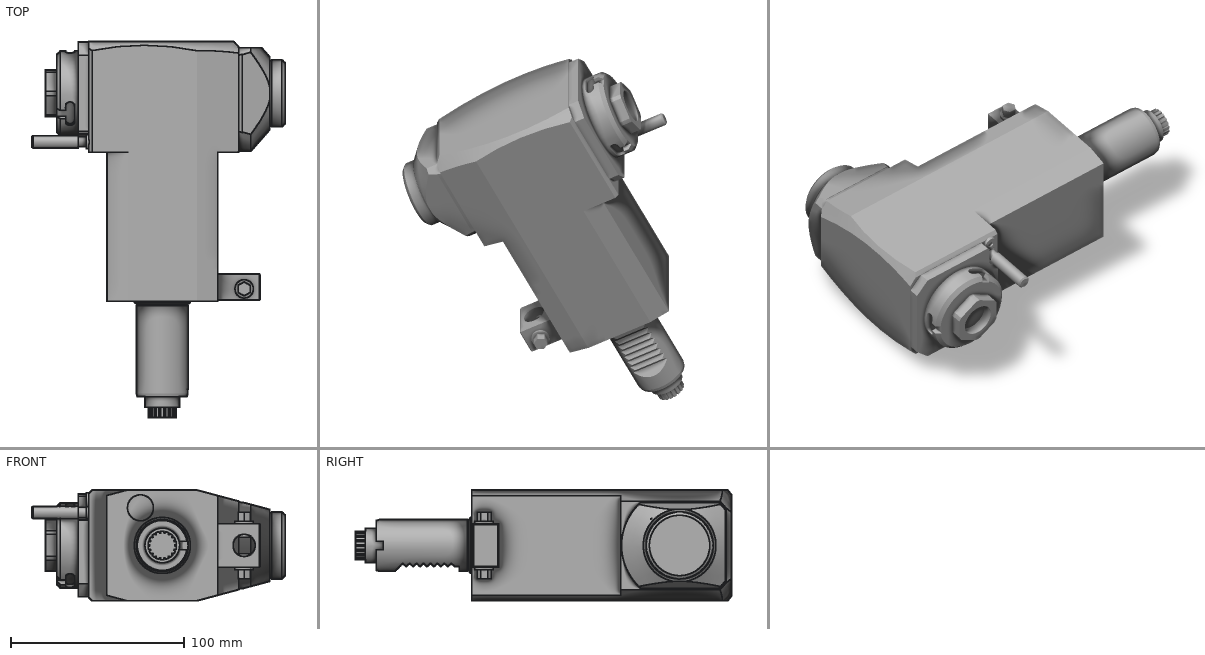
import cadquery as cq
import math


OVERALL_WIDTH = 146.38
HEIGHT = 64.0
HALF_HEIGHT = HEIGHT / 2
BODY_HALF_WIDTH = 32.0
BACK_Y = 150.0
HEAD_FRONT_Y = 86.0
HEAD_LEFT_X = -42.5
HEAD_RIGHT_X = 44.0
HEAD_LEFT_CHAMFER = 2.0
HEAD_BACK_CHAMFER = 3.0
TAPER_START_X = 20.0
TAPER_SLOPE = math.tan(math.radians(15))
BACK_CONE_X = -10.5
BACK_CONE_Y = -2.3
BACK_CONE_RADIUS = 150.0
BACK_CONE_SLOPE = math.tan(math.radians(40))

PLUG_X = -12.6
PLUG_Z = 21.7
PLUG_RADIUS = 7.5
PLUG_DEPTH = 0.5

SPINDLE_Y = 120.0

CAP_RADIUS = 33.5
CAP_CONE_X = 51.0
CAP_END_X = 62.0
CAP_END_RADIUS = 21.0
CAP_FLAT_Y = 146.3
CAP_GROOVE_WIDTH = 2.0
CAP_GROOVE_DEPTH = 0.3
REAR_NECK_LENGTH = 1.2
REAR_NECK_RADIUS = 19.0
REAR_BOSS_RADIUS = 19.4
REAR_BOSS_END_X = 71.0
REAR_BOSS_CHAMFER = 2.0

PLATE_THICKNESS = 6.0
PLATE_LEFT_X = HEAD_LEFT_X - PLATE_THICKNESS
PLATE_HALF_SIZE = 29.7
PLATE_CHAMFER = 7.7

NUT_FRONT_X = -61.0
NUT_RADIUS = 24.6
NUT_CHAMFER = 2.2
NOTCH_WIDTH = 5.5
NOTCH_FLOOR_RADIUS = 21.5
POCKET_WIDTH = 5.2
POCKET_LENGTH = 15.6
POCKET_X = -53.2
NOTCH_ANGLES = (0, 120, 240)

HEX_FRONT_X = -67.5
HEX_ACROSS_FLATS = 27.0
HEX_CORNER_RADIUS = 14.9
NOSE_BORE_RADIUS = 9.5
NOSE_BORE_DEPTH = 6.0

PIN_LEFT_X = REAR_BOSS_END_X - OVERALL_WIDTH
PIN_Y = 92.0
PIN_Z = 19.0
PIN_RADIUS = 3.6
PIN_CHAMFER = 0.8
PIN_NECK_RADIUS = 2.9
PIN_COLLAR_RADIUS = 3.5
PIN_COLLAR_THICKNESS = 1.5
PIN_SLOT_RADIUS = 4.6
SCREW_Z = 26.3
SCREW_RADIUS = 4.1
SCREW_HEAD_HEIGHT = 1.5
SCREW_SOCKET_ACROSS_CORNERS = 3.8
SCREW_SOCKET_DEPTH = 1.0

SHANK_RADIUS = 15.0
COLLAR_RADIUS = 16.2
COLLAR_STRAIGHT = 0.6
COLLAR_CONE_END = 1.6
COLLAR_NECK_END = 2.6
COLLAR_NECK_RADIUS = 14.7
SHANK_LENGTH = 55.0
SHANK_END_CHAMFER_LENGTH = 2.0
SHANK_END_CHAMFER = 0.6
JOURNAL_RADIUS = 10.0
JOURNAL_END = 61.2
SPLINE_END = 67.0
SPLINE_RADIUS = 8.2
SPLINE_ROOT_RADIUS = 7.2
SPLINE_TEETH = 18
SPLINE_ROOT_GAP = 0.5
KEY_SLOT_LENGTH = 4.2
KEY_SLOT_WIDTH = 4.8
KEY_SLOT_FLOOR_X = 9.7

TOOTH_PITCH = 4.0
TOOTH_VALLEYS = 8
FIRST_VALLEY_Y = -11.7
TOOTH_PEAK_Z = -12.2
TOOTH_VALLEY_Z = -10.4
TEETH_START_Y = -7.2

BLOCK_RIGHT_X = 56.5
BLOCK_FRONT_Y = 0.7
BLOCK_BACK_Y = 15.8
BLOCK_HALF_HEIGHT = 12.6
BLOCK_CHAMFER = 0.6
BLOCK_BORE_X = 47.2
BLOCK_BORE_RADIUS = 6.4
FITTING_Y = 7.2
FITTING_FLANGE_RADIUS = 5.3
FITTING_FLANGE_HEIGHT = 1.4
FITTING_HEX_ACROSS_FLATS = 7.0
FITTING_TOP_Z = 19.2
FITTING_STUD_RADIUS = 3.0
FITTING_STUD_END_Z = 4.7

OVERLAP = 1.0


def x_cylinder(radius, x_start, x_end, y, z):
    """Cylinder along X between two X stations."""
    return cq.Workplane("YZ", origin=(x_start, y, z)).circle(radius).extrude(x_end - x_start)


def box_between(low, high):
    """Axis-aligned box between two opposite corners."""
    size = [b - a for a, b in zip(low, high)]
    return cq.Workplane("XY").box(*size, centered=False).translate(low)


def hexagon_across_corners(across_flats):
    return across_flats / math.cos(math.pi / 6)


def tapered_envelope(left_x, left_drop=0.0):
    """Prism along Y whose right shoulders slope; the left edge at left_x is lowered by left_drop."""
    right_z = HALF_HEIGHT - TAPER_SLOPE * (REAR_BOSS_END_X - TAPER_START_X)
    outline = [(left_x, HALF_HEIGHT - left_drop), (-TAPER_START_X, HALF_HEIGHT),
               (TAPER_START_X, HALF_HEIGHT), (REAR_BOSS_END_X, right_z)]
    outline += [(x, -z) for x, z in reversed(outline)]
    return cq.Workplane("XZ").polyline(outline).close().extrude(-BACK_Y)


def make_head():
    head = box_between((HEAD_LEFT_X, HEAD_FRONT_Y, -HALF_HEIGHT), (HEAD_RIGHT_X, BACK_Y, HALF_HEIGHT))
    head = head.edges("<X and |Y").chamfer(HEAD_LEFT_CHAMFER)
    head = head.edges(">X and >Y").chamfer(HEAD_BACK_CHAMFER)
    head = head.intersect(tapered_envelope(HEAD_LEFT_X))
    middle_radius = BACK_CONE_RADIUS + HALF_HEIGHT * BACK_CONE_SLOPE
    double_cone = (
        cq.Workplane("XZ")
        .polyline([(0, -HALF_HEIGHT), (BACK_CONE_RADIUS, -HALF_HEIGHT), (middle_radius, 0),
                   (BACK_CONE_RADIUS, HALF_HEIGHT), (0, HALF_HEIGHT)])
        .close()
        .revolve(360, (0, 0, 0), (0, 1, 0))
        .translate((BACK_CONE_X, BACK_CONE_Y, 0))
    )
    return head.intersect(double_cone)


def make_body():
    block = box_between((-BODY_HALF_WIDTH, 0, -HALF_HEIGHT),
                        (BODY_HALF_WIDTH, HEAD_FRONT_Y + OVERLAP, HALF_HEIGHT))
    left_drop = TAPER_SLOPE * (BODY_HALF_WIDTH - TAPER_START_X)
    body = block.intersect(tapered_envelope(-BODY_HALF_WIDTH, left_drop))
    recess = cq.Workplane("XZ", origin=(PLUG_X, 0, PLUG_Z)).circle(PLUG_RADIUS).extrude(-PLUG_DEPTH)
    return body.cut(recess)


def make_cap():
    """Turned rear cap, flattened by the housing taper and at the back."""
    start_x = HEAD_RIGHT_X - OVERLAP
    cap = (
        cq.Workplane("XY")
        .polyline([(start_x, 0), (start_x, CAP_RADIUS), (CAP_CONE_X, CAP_RADIUS),
                   (CAP_END_X, CAP_END_RADIUS), (CAP_END_X, 0)])
        .close()
        .revolve(360, (0, 0, 0), (1, 0, 0))
        .translate((0, SPINDLE_Y, 0))
        .intersect(tapered_envelope(HEAD_LEFT_X))
    )
    behind_flat = box_between((start_x, CAP_FLAT_Y, -HALF_HEIGHT),
                              (CAP_END_X, SPINDLE_Y + CAP_RADIUS + OVERLAP, HALF_HEIGHT))
    cap = cap.cut(behind_flat)
    groove_end_x = HEAD_RIGHT_X + CAP_GROOVE_WIDTH
    groove_z = [HALF_HEIGHT - CAP_GROOVE_DEPTH - TAPER_SLOPE * (x - TAPER_START_X)
                for x in (HEAD_RIGHT_X, groove_end_x)]
    for side in (1, -1):
        groove = (
            cq.Workplane("XZ")
            .polyline([(HEAD_RIGHT_X, side * groove_z[0]), (groove_end_x, side * groove_z[1]),
                       (groove_end_x, side * HALF_HEIGHT), (HEAD_RIGHT_X, side * HALF_HEIGHT)])
            .close()
            .extrude(-BACK_Y)
        )
        cap = cap.cut(groove)
    boss_start_x = CAP_END_X + REAR_NECK_LENGTH
    neck = x_cylinder(REAR_NECK_RADIUS, CAP_END_X - OVERLAP, boss_start_x, SPINDLE_Y, 0)
    boss = x_cylinder(REAR_BOSS_RADIUS, boss_start_x, REAR_BOSS_END_X, SPINDLE_Y, 0)
    boss = boss.faces(">X").chamfer(REAR_BOSS_CHAMFER)
    return cap.union(neck).union(boss)


def make_plate():
    plate = box_between((PLATE_LEFT_X, SPINDLE_Y - PLATE_HALF_SIZE, -PLATE_HALF_SIZE),
                        (HEAD_LEFT_X + OVERLAP, SPINDLE_Y + PLATE_HALF_SIZE, PLATE_HALF_SIZE))
    plate = plate.edges("|X").chamfer(PLATE_CHAMFER)
    slot_low = x_cylinder(PIN_SLOT_RADIUS, PLATE_LEFT_X, HEAD_LEFT_X, PIN_Y, PIN_Z)
    slot_open = box_between((PLATE_LEFT_X, PIN_Y - PIN_SLOT_RADIUS, PIN_Z),
                            (HEAD_LEFT_X, PIN_Y + PIN_SLOT_RADIUS, HALF_HEIGHT))
    return plate.cut(slot_low).cut(slot_open)


def make_nut():
    nut = x_cylinder(NUT_RADIUS, NUT_FRONT_X, PLATE_LEFT_X + OVERLAP, SPINDLE_Y, 0)
    nut = nut.faces("<X").chamfer(NUT_CHAMFER)
    notch = box_between((NUT_FRONT_X, SPINDLE_Y + NOTCH_FLOOR_RADIUS, -NOTCH_WIDTH / 2),
                        (POCKET_X, SPINDLE_Y + NUT_RADIUS, NOTCH_WIDTH / 2))
    pocket = (
        cq.Workplane("XZ", origin=(POCKET_X, SPINDLE_Y + NOTCH_FLOOR_RADIUS, 0))
        .slot2D(POCKET_LENGTH, POCKET_WIDTH, 90)
        .extrude(NOTCH_FLOOR_RADIUS - NUT_RADIUS)
    )
    spanner_cut = notch.union(pocket)
    for angle in NOTCH_ANGLES:
        nut = nut.cut(spanner_cut.rotate((0, SPINDLE_Y, 0), (1, SPINDLE_Y, 0), angle))
    return nut


def make_nose():
    length = NUT_FRONT_X + OVERLAP - HEX_FRONT_X
    nose = (
        cq.Workplane("YZ", origin=(HEX_FRONT_X, SPINDLE_Y, 0))
        .transformed(rotate=(0, 0, 90))
        .polygon(6, hexagon_across_corners(HEX_ACROSS_FLATS))
        .extrude(length)
    )
    turned = x_cylinder(HEX_CORNER_RADIUS, HEX_FRONT_X, HEX_FRONT_X + length, SPINDLE_Y, 0)
    return nose.intersect(turned)


def make_nose_bore():
    return x_cylinder(NOSE_BORE_RADIUS, HEX_FRONT_X, HEX_FRONT_X + NOSE_BORE_DEPTH, SPINDLE_Y, 0)


def make_pin_and_screw():
    pin = x_cylinder(PIN_RADIUS, PIN_LEFT_X, PLATE_LEFT_X, PIN_Y, PIN_Z)
    pin = pin.faces("<X").chamfer(PIN_CHAMFER)
    neck = x_cylinder(PIN_NECK_RADIUS, PLATE_LEFT_X - OVERLAP, HEAD_LEFT_X + OVERLAP, PIN_Y, PIN_Z)
    collar = x_cylinder(PIN_COLLAR_RADIUS, HEAD_LEFT_X - PIN_COLLAR_THICKNESS, HEAD_LEFT_X + OVERLAP,
                        PIN_Y, PIN_Z)
    head_left_x = HEAD_LEFT_X - SCREW_HEAD_HEIGHT
    screw = x_cylinder(SCREW_RADIUS, head_left_x, HEAD_LEFT_X + OVERLAP, PIN_Y, SCREW_Z)
    socket = (
        cq.Workplane("YZ", origin=(head_left_x, PIN_Y, SCREW_Z))
        .transformed(rotate=(0, 0, 90))
        .polygon(6, SCREW_SOCKET_ACROSS_CORNERS)
        .extrude(SCREW_SOCKET_DEPTH)
    )
    return pin.union(neck).union(collar).union(screw.cut(socket))


def make_clamping_teeth_cut():
    """Toothed flat under the shank: a step, a row of V teeth and a 45 degree run-out."""
    half_pitch = TOOTH_PITCH / 2
    bottom_z = -SHANK_RADIUS - OVERLAP
    last_valley_y = FIRST_VALLEY_Y - TOOTH_PITCH * (TOOTH_VALLEYS - 1)
    outline = [(TEETH_START_Y, bottom_z), (TEETH_START_Y, TOOTH_PEAK_Z),
               (FIRST_VALLEY_Y + half_pitch, TOOTH_PEAK_Z)]
    for index in range(TOOTH_VALLEYS - 1):
        valley_y = FIRST_VALLEY_Y - TOOTH_PITCH * index
        outline += [(valley_y, TOOTH_VALLEY_Z), (valley_y - half_pitch, TOOTH_PEAK_Z)]
    outline += [(last_valley_y, TOOTH_VALLEY_Z),
                (last_valley_y - (TOOTH_VALLEY_Z - bottom_z), bottom_z)]
    return cq.Workplane("YZ").polyline(outline).close().extrude(SHANK_RADIUS, both=True)


def make_spline():
    """Straight-flanked splined end with evenly spaced teeth."""
    spline = cq.Workplane("XZ", origin=(0, OVERLAP - JOURNAL_END, 0)).circle(SPLINE_RADIUS)
    spline = spline.extrude(SPLINE_END - JOURNAL_END + OVERLAP)
    gap_half_angle = math.pi / SPLINE_TEETH / 2
    outer = SPLINE_RADIUS + OVERLAP
    outer_half_width = outer * math.tan(gap_half_angle)
    root_half_width = SPLINE_ROOT_GAP / 2
    gap = (
        cq.Workplane("XZ", origin=(0, -JOURNAL_END, 0))
        .polyline([(SPLINE_ROOT_RADIUS, -root_half_width), (outer, -outer_half_width),
                   (outer, outer_half_width), (SPLINE_ROOT_RADIUS, root_half_width)])
        .close()
        .extrude(SPLINE_END - JOURNAL_END)
    )
    for index in range(SPLINE_TEETH):
        spline = spline.cut(gap.rotate((0, 0, 0), (0, 1, 0), 360 / SPLINE_TEETH * index))
    return spline


def make_shank():
    end_radius = SHANK_RADIUS - SHANK_END_CHAMFER
    shank = (
        cq.Workplane("XY")
        .polyline([(0, OVERLAP), (COLLAR_RADIUS, OVERLAP), (COLLAR_RADIUS, -COLLAR_STRAIGHT),
                   (COLLAR_NECK_RADIUS, -COLLAR_CONE_END), (COLLAR_NECK_RADIUS, -COLLAR_NECK_END),
                   (SHANK_RADIUS, -COLLAR_NECK_END),
                   (SHANK_RADIUS, SHANK_END_CHAMFER_LENGTH - SHANK_LENGTH),
                   (end_radius, -SHANK_LENGTH), (JOURNAL_RADIUS, -SHANK_LENGTH),
                   (JOURNAL_RADIUS, -JOURNAL_END), (0, -JOURNAL_END)])
        .close()
        .revolve(360, (0, 0, 0), (0, 1, 0))
    )
    key_slot = box_between((KEY_SLOT_FLOOR_X, -SHANK_LENGTH, -KEY_SLOT_WIDTH / 2),
                           (SHANK_RADIUS, KEY_SLOT_LENGTH - SHANK_LENGTH, KEY_SLOT_WIDTH / 2))
    journal = cq.Workplane("XZ").circle(JOURNAL_RADIUS).extrude(SHANK_LENGTH)
    return shank.cut(key_slot.cut(journal)).cut(make_clamping_teeth_cut()).union(make_spline())


def make_coolant_block():
    block = box_between((BODY_HALF_WIDTH - OVERLAP, BLOCK_FRONT_Y, -BLOCK_HALF_HEIGHT),
                        (BLOCK_RIGHT_X, BLOCK_BACK_Y, BLOCK_HALF_HEIGHT))
    block = block.faces(">X").edges().chamfer(BLOCK_CHAMFER)
    bore = (
        cq.Workplane("XZ", origin=(BLOCK_BORE_X, BLOCK_FRONT_Y, 0))
        .circle(BLOCK_BORE_RADIUS)
        .extrude(BLOCK_FRONT_Y - BLOCK_BACK_Y)
    )
    block = block.cut(bore)
    fitting = (
        cq.Workplane("XY", origin=(BLOCK_BORE_X, FITTING_Y, BLOCK_HALF_HEIGHT))
        .circle(FITTING_FLANGE_RADIUS)
        .extrude(FITTING_FLANGE_HEIGHT)
        .faces(">Z")
        .workplane()
        .transformed(rotate=(0, 0, 90))
        .polygon(6, hexagon_across_corners(FITTING_HEX_ACROSS_FLATS))
        .extrude(FITTING_TOP_Z - BLOCK_HALF_HEIGHT - FITTING_FLANGE_HEIGHT)
    )
    stud = (
        cq.Workplane("XY", origin=(BLOCK_BORE_X, FITTING_Y, FITTING_STUD_END_Z))
        .circle(FITTING_STUD_RADIUS)
        .extrude(BLOCK_HALF_HEIGHT - FITTING_STUD_END_Z)
    )
    fitting = fitting.union(stud)
    return block.union(fitting).union(fitting.mirror("XY"))


result = (
    make_head()
    .union(make_body())
    .union(make_cap())
    .union(make_plate())
    .union(make_nut())
    .union(make_nose())
    .cut(make_nose_bore())
    .union(make_pin_and_screw())
    .union(make_shank())
    .union(make_coolant_block())
)